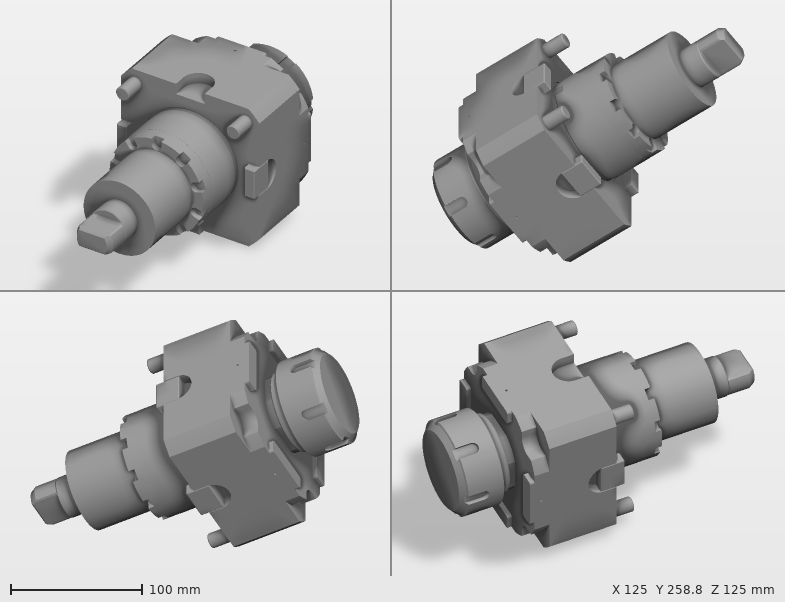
import cadquery as cq
import math


quarter_turns = (0, 90, 180, 270)
body_side = 125.0
half_side = body_side / 2
body_depth = 57.0
body_corner_diameter = 163.5

plate_back = 69.5
plate_corner_diameter = 137.7
screw_offset = 50.0
screw_clearance_radius = 10.0
pad_back = 73.3
pad_width = 45.0
pad_thickness = 12.5
pad_edge_radius = 2.0
oil_hole_diameter = 2.1
oil_hole_depth = 2.5
oil_hole_y = 63.5

nut_end = 118.8
nut_rear = 83.4
nut_diameter = 78.0
nut_nose_diameter = 65.0
nut_cone_diameter = 74.5
nut_cone_base = 114.5
nut_rim = 113.7
nut_edge_break = 0.8
collar_diameter = 65.0
collar_rear = 75.3
collar_chamfer = 1.0
neck_side = 55.5
neck_corner_diameter = 61.0
wrench_slot_count = 6
wrench_slot_width = 8.8
wrench_slot_end = 96.3
wrench_slot_floor = 35.5

sleeve_diameter = 85.0
sleeve_ring_diameter = 84.7
ring_start = 35.0
sleeve_length = 48.2
seal_groove_diameter = 83.4
seal_groove_width = 3.0
sleeve_chamfer = 0.8
face_recess_diameter = 87.2
face_recess_depth = 1.5
ring_slot_count = 10
ring_slot_width = 8.8
ring_slot_depth = 5.0
ring_slot_inner_radius = 33.0
sleeve_notch_width = 8.8
sleeve_notch_length = 10.0
sleeve_notch_depth = 1.3
shank_diameter = 65.0
shank_end = 100.5
stub_diameter = 32.5
stub_end = 117.5
stub_chamfer = 0.8
tang_end = 140.0
tang_thickness = 16.5
tang_root_radius = 1.5
tang_chamfer = 1.3
tang_tip_diameter = 27.0
tang_taper_length = 5.0

key_width = 26.0
key_depth = 9.3
key_rear = 13.0
key_front = -7.0
key_chamfer = 0.8
key_slot_end = 23.8
screw_diameter = 12.0
screw_length = 18.5
screw_chamfer = 0.8


def box(x_min, x_max, y_min, y_max, z_min, z_max):
    size = (x_max - x_min, y_max - y_min, z_max - z_min)
    return cq.Workplane("XY").box(*size, centered=False).translate((x_min, y_min, z_min))


def cylinder(diameter, y_min, y_max, x=0.0, z=0.0):
    """Cylinder parallel to Y."""
    disc = cq.Workplane("XZ", origin=(x, y_min, z)).circle(diameter / 2)
    return disc.extrude(y_min - y_max)


def turn(about):
    """Rotation arguments for a turn about the spindle axis."""
    return (0, 0, 0), (0, 1, 0), about


def turned(points):
    """Solid of revolution about Y from (radius, y) points."""
    return cq.Workplane("XY").polyline(points).close().revolve(360, (0, 0, 0), (0, 1, 0))


def trimmed_square(y_min, y_max, corner_diameter):
    block = box(-half_side, half_side, y_min, y_max, -half_side, half_side)
    return block.intersect(cylinder(corner_diameter, y_min, y_max))


def make_key_slot():
    """Round-ended slot in the +Z side, open at the mounting face."""
    radius = key_width / 2
    floor = half_side - key_depth
    centre = key_slot_end - radius
    slot = box(-radius, radius, 0, centre, floor, half_side)
    end = cq.Workplane("XY", origin=(0, centre, floor)).circle(radius).extrude(key_depth)
    return slot.union(end)


def make_body():
    body = trimmed_square(0, body_depth, body_corner_diameter)
    body = body.cut(cylinder(face_recess_diameter, 0, face_recess_depth))
    for angle in quarter_turns:
        body = body.cut(make_key_slot().rotate(*turn(angle)))
    return body


def make_key():
    """Key in the +Z slot."""
    key = box(-key_width / 2, key_width / 2, key_front, key_rear, half_side - key_depth, half_side)
    return key.faces(">Z or <Y").edges().chamfer(key_chamfer)


def make_screw_pocket():
    """Corner pocket of the plate, rounded about the screw axis and open to both sides."""
    inner = screw_offset - screw_clearance_radius
    depth = (body_depth, plate_back)
    pocket = cylinder(2 * screw_clearance_radius, *depth, screw_offset, screw_offset)
    pocket = pocket.union(box(inner, half_side, *depth, screw_offset, half_side))
    return pocket.union(box(screw_offset, half_side, *depth, inner, half_side))


def make_plate():
    plate = trimmed_square(body_depth, plate_back, plate_corner_diameter)
    pad = box(-pad_width / 2, pad_width / 2, plate_back, pad_back, half_side - pad_thickness, half_side)
    pad = pad.edges("|Y").fillet(pad_edge_radius)
    oil_hole = cq.Workplane("XY", origin=(0, oil_hole_y, half_side - oil_hole_depth))
    oil_hole = oil_hole.circle(oil_hole_diameter / 2).extrude(oil_hole_depth)
    for angle in quarter_turns:
        plate = plate.cut(make_screw_pocket().rotate(*turn(angle)))
        plate = plate.union(pad.rotate(*turn(angle)))
        plate = plate.cut(oil_hole.rotate(*turn(angle)))
    return plate


def make_nut():
    radius = nut_diameter / 2
    nut = turned([
        (0, nut_rear),
        (radius - nut_edge_break, nut_rear),
        (radius, nut_rear + nut_edge_break),
        (radius, nut_rim),
        (nut_cone_diameter / 2, nut_cone_base),
        (nut_nose_diameter / 2, nut_end),
        (0, nut_end),
    ])
    slot_radius = wrench_slot_width / 2
    slot_centre = wrench_slot_end + slot_radius
    slot_height = radius - wrench_slot_floor
    slot = cq.Workplane("XY", origin=(0, slot_centre, wrench_slot_floor)).circle(slot_radius)
    slot = slot.extrude(slot_height)
    slot = slot.union(box(-slot_radius, slot_radius, slot_centre, nut_end, wrench_slot_floor, radius))
    for index in range(wrench_slot_count):
        angle = (index + 0.5) * 360 / wrench_slot_count
        nut = nut.cut(slot.rotate(*turn(angle)))
    return nut


def make_neck():
    neck = cylinder(neck_corner_diameter, body_depth, collar_rear)
    flat = neck_side / 2
    neck = neck.intersect(box(-flat, flat, body_depth, collar_rear, -flat, flat))
    collar = cylinder(collar_diameter, collar_rear, nut_rear)
    return neck.union(collar.faces("<Y").chamfer(collar_chamfer))


def make_sleeve():
    """Sleeve with a seal groove, slotted end ring and a flat notch on the -X side."""
    sleeve = cylinder(sleeve_diameter, -ring_start, sleeve_chamfer - seal_groove_width)
    sleeve = sleeve.faces(">Y").chamfer(sleeve_chamfer)
    sleeve = sleeve.union(cylinder(seal_groove_diameter, -seal_groove_width, face_recess_depth))
    sleeve = sleeve.union(cylinder(sleeve_ring_diameter, -sleeve_length, -ring_start))
    slot_radius = ring_slot_width / 2
    slot_centre = ring_slot_inner_radius + slot_radius
    slot_top = ring_slot_depth - sleeve_length
    slot = cylinder(ring_slot_width, -sleeve_length, slot_top, 0, slot_centre)
    outer = sleeve_diameter / 2
    slot = slot.union(box(-slot_radius, slot_radius, -sleeve_length, slot_top, slot_centre, outer))
    for index in range(ring_slot_count):
        sleeve = sleeve.cut(slot.rotate(*turn(index * 360 / ring_slot_count)))
    half_notch = sleeve_notch_width / 2
    notch = box(-outer, sleeve_notch_depth - outer, -sleeve_notch_length, 0, -half_notch, half_notch)
    return sleeve.cut(notch)


def make_tang():
    """Stub with two flats that leave a flat drive tang."""
    radius = stub_diameter / 2
    half = tang_thickness / 2
    stub = turned([
        (0, -shank_end),
        (radius, -shank_end),
        (radius, tang_taper_length - tang_end),
        (tang_tip_diameter / 2, -tang_end),
        (0, -tang_end),
    ])
    root_middle = tang_root_radius * (1 - math.sqrt(0.5))
    upper = (
        cq.Workplane("YZ", origin=(-radius, 0, 0))
        .moveTo(-shank_end, 0)
        .lineTo(-shank_end, radius)
        .lineTo(-stub_end, radius)
        .lineTo(-stub_end, half + tang_root_radius)
        .threePointArc((-stub_end - root_middle, half + root_middle), (-stub_end - tang_root_radius, half))
        .lineTo(tang_chamfer - tang_end, half)
        .lineTo(-tang_end, half - tang_chamfer)
        .lineTo(-tang_end, 0)
        .close()
        .extrude(stub_diameter)
    )
    profile = upper.union(upper.mirror("XY"))
    shoulder_cone = turned([
        (0, -shank_end),
        (radius, -shank_end),
        (radius, stub_chamfer - stub_end),
        (radius - stub_chamfer, -stub_end),
        (0, -stub_end),
    ])
    front = cylinder(stub_diameter, -tang_end, -stub_end)
    chord = math.sqrt(radius**2 - half**2)
    inset = chord - tang_chamfer
    long_edges = (
        cq.Workplane("XZ", origin=(0, -stub_end, 0))
        .polyline([
            (-inset, radius), (inset, radius), (inset, half), (radius, half - tang_chamfer),
            (radius, tang_chamfer - half), (inset, -half), (inset, -radius), (-inset, -radius),
            (-inset, -half), (-radius, tang_chamfer - half), (-radius, half - tang_chamfer), (-inset, half),
        ])
        .close()
        .extrude(tang_end - stub_end)
    )
    return stub.intersect(profile).intersect(shoulder_cone.union(front.intersect(long_edges)))


def make_screw(x, z):
    screw = cylinder(screw_diameter, -screw_length, 0, x, z)
    return screw.faces("<Y").chamfer(screw_chamfer)


result = make_body()
for section in (make_plate(), make_neck(), make_nut(), make_sleeve(), make_tang()):
    result = result.union(section)
result = result.union(cylinder(shank_diameter, -shank_end, -sleeve_length))

for key_angle in quarter_turns[1:]:
    result = result.union(make_key().rotate(*turn(key_angle)))

for screw_x, screw_z in ((-1, 1), (1, 1), (-1, -1)):
    result = result.union(make_screw(screw_x * screw_offset, screw_z * screw_offset))